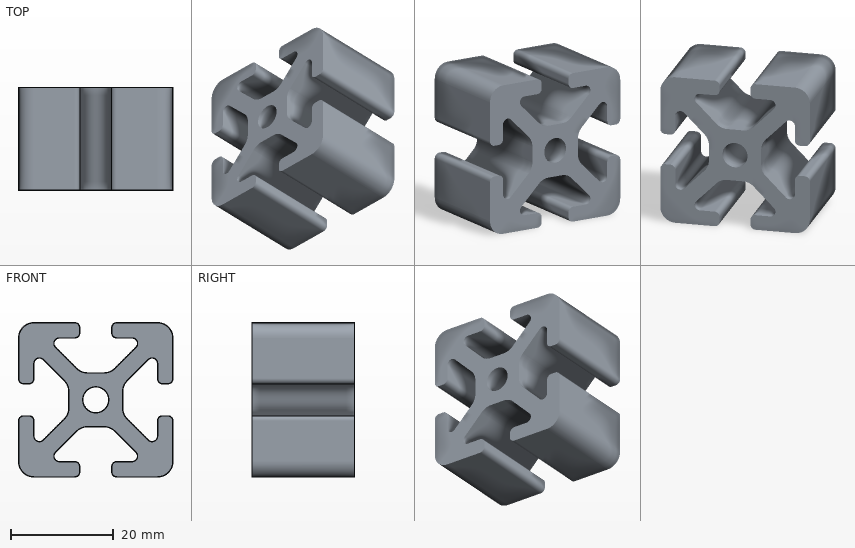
import cadquery as cq

PROFILE_SIZE = 30.0
LENGTH = 20.0
OUTER_CORNER_RADIUS = 3.0

LIP_THICKNESS = 3.0
LIP_EDGE_RADIUS = 1.0
SLOT_OPENING = 6.2

CORE_SIZE = 10.5
CORE_BORE_DIAMETER = 5.0
WEB_THICKNESS = 3.4
WEB_ROOT_RADIUS = 3.0
CAVITY_CORNER_RADIUS = 1.05

SLOT_COUNT = 4
SLOT_ANGLE = 360.0 / SLOT_COUNT

half_profile = PROFILE_SIZE / 2
half_opening = SLOT_OPENING / 2
half_length = LENGTH / 2
cavity_top = half_profile - LIP_THICKNESS
cavity_floor = CORE_SIZE / 2

web_face_offset = WEB_THICKNESS / 2 * 2 ** 0.5
cavity_top_half_width = cavity_top - web_face_offset
cavity_floor_half_width = cavity_floor - web_face_offset


def profile_plane():
    """Sketch plane for cross-sections; its extrusions are centred on Y = 0."""
    return cq.Workplane("XZ")


def make_block():
    """Square bar with rounded long edges."""
    block = profile_plane().rect(PROFILE_SIZE, PROFILE_SIZE).extrude(half_length, both=True)
    return block.edges("|Y").fillet(OUTER_CORNER_RADIUS)


def make_cavity():
    """Rounded trapezoid behind the lips of the upper slot."""
    cavity = (
        profile_plane()
        .moveTo(-cavity_floor_half_width, cavity_floor)
        .lineTo(cavity_floor_half_width, cavity_floor)
        .lineTo(cavity_top_half_width, cavity_top)
        .lineTo(-cavity_top_half_width, cavity_top)
        .close()
        .extrude(half_length, both=True)
    )
    cavity = cavity.faces(">Z").edges("|Y").fillet(CAVITY_CORNER_RADIUS)
    return cavity.faces("<Z").edges("|Y").fillet(WEB_ROOT_RADIUS)


def make_opening():
    """Straight gap between the two lips of the upper slot."""
    opening = profile_plane().center(0, (cavity_top + half_profile) / 2)
    return opening.rect(SLOT_OPENING, LIP_THICKNESS).extrude(half_length, both=True)


def make_lip_edge_trim(side, edge_z, outward):
    """Sliver that rounds one lip edge: side is -1 or 1 in X, outward is -1 or 1 in Z."""
    inner_x = side * half_opening
    arc_x = side * (half_opening + LIP_EDGE_RADIUS)
    arc_z = edge_z - outward * LIP_EDGE_RADIUS
    diagonal_reach = LIP_EDGE_RADIUS / 2 ** 0.5
    arc_middle = (arc_x - side * diagonal_reach, arc_z + outward * diagonal_reach)
    return (
        profile_plane()
        .moveTo(inner_x, edge_z)
        .lineTo(arc_x, edge_z)
        .threePointArc(arc_middle, (inner_x, arc_z))
        .close()
        .extrude(half_length, both=True)
    )


def make_slot():
    """Complete upper T-slot: cavity, opening and the rounding of the lip edges."""
    slot = make_cavity().union(make_opening())
    for side in (-1, 1):
        slot = slot.union(make_lip_edge_trim(side, half_profile, 1))
        slot = slot.union(make_lip_edge_trim(side, cavity_top, -1))
    return slot


def make_core_bore():
    """Round hole along the full length of the core."""
    return profile_plane().circle(CORE_BORE_DIAMETER / 2).extrude(half_length, both=True)


result = make_block().cut(make_core_bore())
upper_slot = make_slot()
for index in range(SLOT_COUNT):
    result = result.cut(upper_slot.rotate((0, 0, 0), (0, 1, 0), index * SLOT_ANGLE))